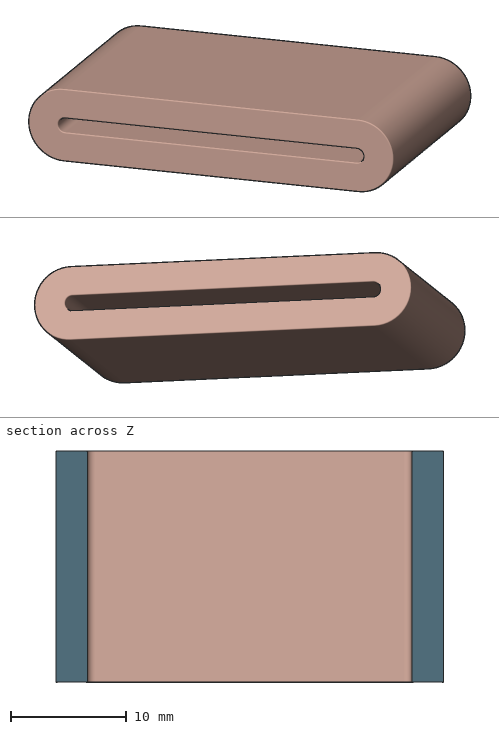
import cadquery as cq

length = 33.5
depth = 20.0
height = 6.5

slot_length = 28.0
slot_height = 1.3

edge_radius = 0.1


def rounded_bar(bar_length, bar_height):
    """Bar along X with full-round ends, centred on the origin and extruded along Y."""
    return cq.Workplane("XZ").slot2D(bar_length, bar_height).extrude(depth / 2, both=True)


body = rounded_bar(length, height)
slot = rounded_bar(slot_length, slot_height)
sleeve = body.cut(slot)

result = sleeve.faces("<Y or >Y").edges().fillet(edge_radius)